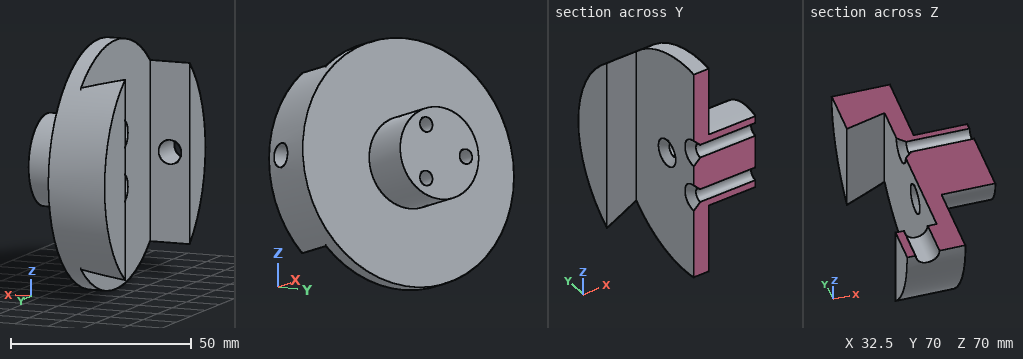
import cadquery as cq
import math

disk_diameter = 70.0
slot_depth = 11.9
floor_thickness = 5.05
stub_diameter = 26.0
stub_length = 15.55
slot_half_width = 24.0
dovetail_angle = 15.0

screw_count = 3
screw_circle_radius = 8.75
screw_hole_diameter = 4.2
countersink_diameter = 8.55
countersink_angle = 90.0

pin_hole_diameter = 6.8

disk_thickness = slot_depth + floor_thickness


def make_body():
    """Round disk with a coaxial stub on its +X face."""
    disk = cq.Workplane("YZ").circle(disk_diameter / 2).extrude(disk_thickness)
    return disk.faces(">X").workplane().circle(stub_diameter / 2).extrude(stub_length)


def make_slot():
    """Slot along Z: square wall on the -Y side, undercut wall on the +Y side."""
    undercut = slot_depth * math.tan(math.radians(dovetail_angle))
    return (
        cq.Workplane("XY")
        .moveTo(0, -slot_half_width)
        .lineTo(slot_depth, -slot_half_width)
        .lineTo(slot_depth, slot_half_width)
        .lineTo(0, slot_half_width - undercut)
        .close()
        .extrude(disk_diameter / 2, both=True)
    )


def drill_screw_holes(body):
    """Countersunk holes from the slot floor through the stub, one of them on +Y."""
    return (
        body.copyWorkplane(cq.Workplane("YZ", origin=(slot_depth, 0, 0)))
        .transformed(rotate=(0, 180, 0))
        .polarArray(screw_circle_radius, 180, 360, screw_count)
        .cskHole(screw_hole_diameter, countersink_diameter, countersink_angle)
    )


def make_pin_hole():
    """Radial hole through the -Y jaw, halfway along the slot depth."""
    return (
        cq.Workplane("XZ", origin=(slot_depth / 2, 0, 0))
        .circle(pin_hole_diameter / 2)
        .extrude(disk_diameter / 2)
    )


body = make_body().cut(make_slot())
result = drill_screw_holes(body).cut(make_pin_hole())